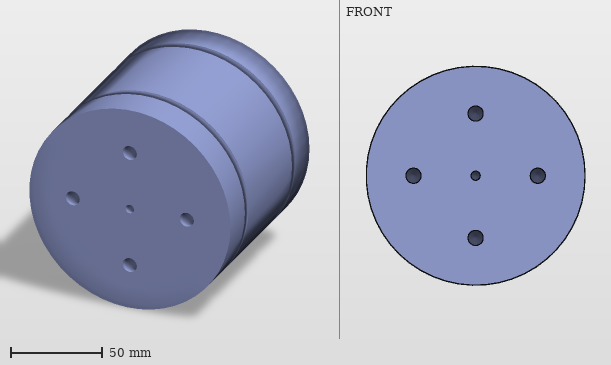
import cadquery as cq
import math

total_length = 126.0
body_diameter = 120.0
boss_diameter = 70.0
boss_length = 17.0
body_length = total_length - boss_length

groove_radius = 2.5
front_groove_offset = 22.5
rear_groove_offset = 21.5

center_hole_diameter = 5.0
center_hole_depth = 10.1
bolt_hole_diameter = 8.3
bolt_hole_depth = 15.1
bolt_circle_radius = 34.0
bolt_hole_count = 4
drill_point_angle = 118.0

front_y = -total_length / 2
shoulder_y = front_y + body_length
body_radius = body_diameter / 2


def cylinder_along_y(diameter, start_y, length):
    """Solid cylinder on the Y axis, running toward +Y from start_y."""
    base = cq.Workplane("XZ", origin=(0, start_y, 0))
    return base.circle(diameter / 2).extrude(-length)


def groove_cutter(center_y):
    """Ring of round section centred on the body surface."""
    section = cq.Workplane("XY").center(body_radius, center_y).circle(groove_radius)
    return section.revolve(360, (-body_radius, 0, 0), (-body_radius, 1, 0))


def drilled_hole(x, z, diameter, depth):
    """Hole of the given full-diameter depth, ending in a drill point."""
    radius = diameter / 2
    tip_length = radius / math.tan(math.radians(drill_point_angle / 2))
    profile = (
        cq.Workplane("XY")
        .polyline([(0, 0), (radius, 0), (radius, depth), (0, depth + tip_length)])
        .close()
    )
    return profile.revolve(360, (0, 0, 0), (0, 1, 0)).translate((x, front_y, z))


body = cylinder_along_y(body_diameter, front_y, body_length)
boss = cylinder_along_y(boss_diameter, shoulder_y, boss_length)
result = body.union(boss)

for groove_y in (front_y + front_groove_offset, shoulder_y - rear_groove_offset):
    result = result.cut(groove_cutter(groove_y))

result = result.cut(drilled_hole(0, 0, center_hole_diameter, center_hole_depth))
for index in range(bolt_hole_count):
    angle = 2 * math.pi * index / bolt_hole_count
    hole_x = bolt_circle_radius * math.cos(angle)
    hole_z = bolt_circle_radius * math.sin(angle)
    result = result.cut(drilled_hole(hole_x, hole_z, bolt_hole_diameter, bolt_hole_depth))